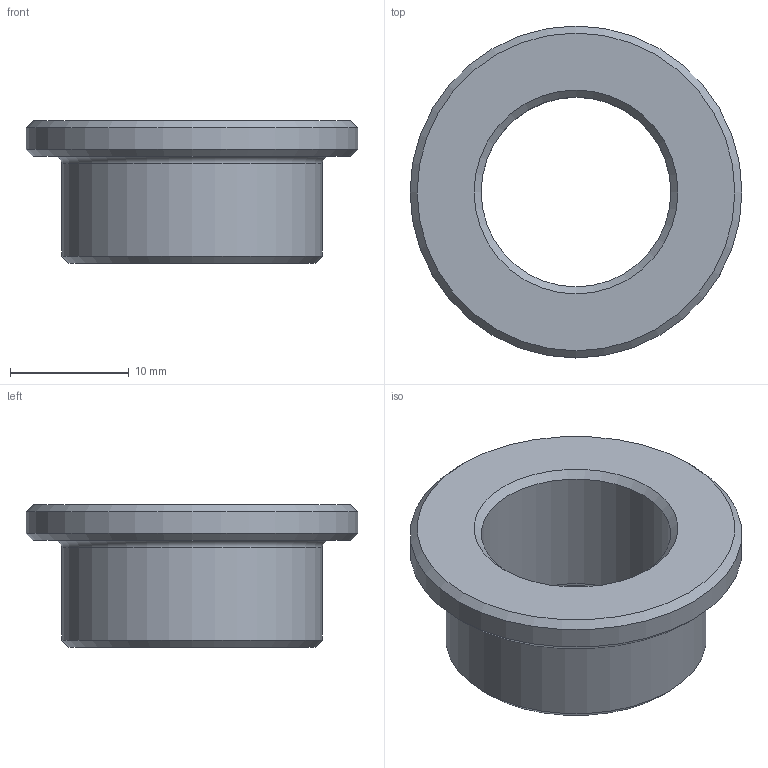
import cadquery as cq

flange_diameter = 28.0
sleeve_diameter = 22.0
bore_diameter = 16.0
total_height = 12.0
flange_thickness = 3.0
chamfer = 0.6
neck_fillet = 0.6
tolerance = 0.01

sleeve_length = total_height - flange_thickness


def make_sleeve():
    """Cylindrical sleeve with a chamfered lower rim, standing on Z = 0."""
    sleeve = cq.Workplane("XY").circle(sleeve_diameter / 2).extrude(sleeve_length)
    return sleeve.faces("<Z").edges().chamfer(chamfer)


def make_flange():
    """Flange disc with both outer rims chamfered, on top of the sleeve."""
    flange = cq.Workplane("XY").workplane(offset=sleeve_length)
    flange = flange.circle(flange_diameter / 2).extrude(flange_thickness)
    return flange.edges().chamfer(chamfer)


def fillet_neck(body):
    """Round the inside corner where the sleeve meets the flange."""
    underside = body.faces(cq.selectors.BoxSelector(
        (-flange_diameter, -flange_diameter, sleeve_length - tolerance),
        (flange_diameter, flange_diameter, sleeve_length + tolerance),
    ))
    neck_edge = underside.edges(cq.selectors.RadiusNthSelector(0))
    return neck_edge.fillet(neck_fillet)


def cut_bore(body):
    """Through bore with chamfered mouths at both ends."""
    body = body.faces(">Z").workplane().circle(bore_diameter / 2).cutThruAll()
    mouths = body.faces(">Z or <Z").edges(cq.selectors.RadiusNthSelector(0))
    return mouths.chamfer(chamfer)


blank = make_sleeve().union(make_flange())
result = cut_bore(fillet_neck(blank))